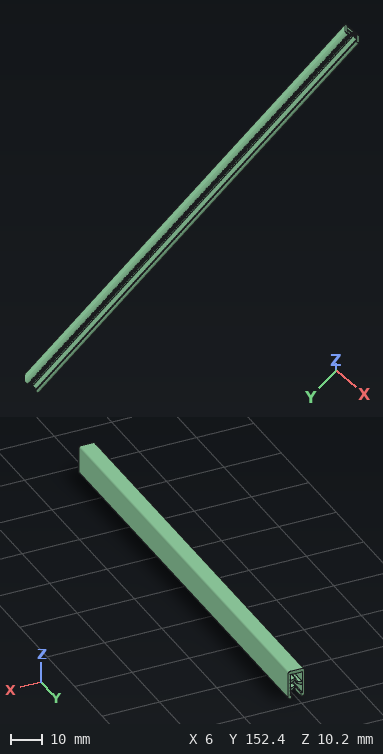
import cadquery as cq

length = 152.4
width = 6.0
height = 10.2

wall = 0.9
roof = 1.3
top_radius = 0.99
foot_radius = 0.9
lip_width = 1.4
lip_height = 1.4

fin_reach = 2.0
root_thickness = 1.2
tip_thickness = 0.8
fin_rise = 0.9
fin_pitch = 1.4
lowest_fin_z = 2.7
fin_sides = [1, -1, 1]

half_width = width / 2
inner_x = half_width - wall
tip_radius = tip_thickness / 2


def extrude_along_length(profile):
    return profile.extrude(length / 2, both=True)


def make_channel():
    lip_x = half_width - lip_width
    outline = [
        (-half_width, 0),
        (-half_width, height),
        (half_width, height),
        (half_width, 0),
        (lip_x, 0),
        (lip_x, lip_height),
        (inner_x, lip_height),
        (inner_x, height - roof),
        (-inner_x, height - roof),
        (-inner_x, lip_height),
        (-lip_x, lip_height),
        (-lip_x, 0),
    ]
    body = extrude_along_length(cq.Workplane("XZ").polyline(outline).close())
    body = body.faces(">Z").edges("|Y").fillet(top_radius)
    outer_sides = body.faces("<X or >X")
    return outer_sides.edges("|Y and <Z").fillet(foot_radius)


def make_fin(side, root_z):
    """A fin rooted flat on one wall, tapering and sloping up to a rounded tip."""
    root_x = side * inner_x
    tip_start_x = side * (inner_x - fin_reach + tip_radius)
    tip_x = side * (inner_x - fin_reach)
    tip_z = root_z + fin_rise
    profile = (
        cq.Workplane("XZ")
        .moveTo(root_x, root_z)
        .lineTo(tip_start_x, tip_z)
        .threePointArc((tip_x, tip_z + tip_radius), (tip_start_x, tip_z + tip_thickness))
        .lineTo(root_x, root_z + root_thickness)
        .close()
    )
    return extrude_along_length(profile)


channel = make_channel()
fins = [make_fin(side, lowest_fin_z + i * fin_pitch) for i, side in enumerate(fin_sides)]

result = cq.Compound.makeCompound([channel.val(), *[fin.val() for fin in fins]])